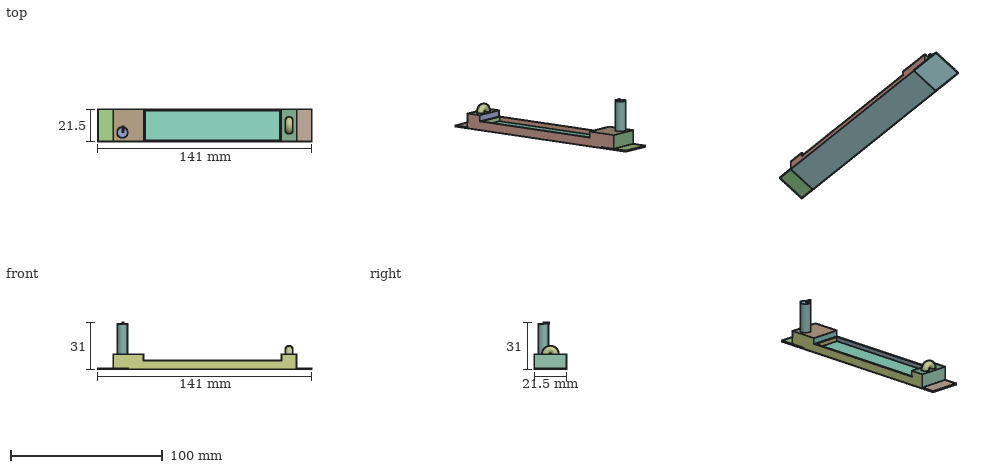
import cadquery as cq

total_length = 141.0
width = 21.5
total_height = 31.0

tab_reach = 10.0
housing_start = tab_reach
housing_end = total_length - tab_reach
block_height = 10.0
left_block_length = 20.0
right_block_length = 10.0
tray_start = housing_start + left_block_length
tray_end = housing_end - right_block_length
tray_height = 5.9
tray_wall = 1.0
tray_depth = 3.0

tab_thickness = 0.8
left_tab_length = 2 * tab_reach

post_diameter = 7.0
post_x = 16.1
post_y = -4.7
pointer_height = 1.0
pointer_width = 1.0
pointer_length = 4.0
post_top = total_height - pointer_height

hoop_bar_diameter = 5.1
hoop_bend_radius = 3.1
hoop_x = housing_end - right_block_length / 2


def make_tab(start, length):
    """Thin full-width plate on the underside plane."""
    plate = cq.Workplane("XY").box(length, width, tab_thickness, centered=(False, True, False))
    return plate.translate((start, 0, 0))


def make_housing():
    """Stepped housing with an open tray and a recess for the left tab."""
    profile = [
        (housing_start, 0),
        (housing_end, 0),
        (housing_end, block_height),
        (tray_end, block_height),
        (tray_end, tray_height),
        (tray_start, tray_height),
        (tray_start, block_height),
        (housing_start, block_height),
    ]
    body = cq.Workplane("XZ").polyline(profile).close().extrude(width / 2, both=True)
    tray = (
        cq.Workplane("XY", origin=((tray_start + tray_end) / 2, 0, tray_height))
        .rect(tray_end - tray_start - 2 * tray_wall, width - 2 * tray_wall)
        .extrude(-tray_depth)
    )
    return body.cut(tray).cut(make_tab(0, left_tab_length))


def make_post():
    """Upright cylinder on the left block; its pointer runs from the axis past the rim."""
    post = (
        cq.Workplane("XY", origin=(post_x, post_y, block_height))
        .circle(post_diameter / 2)
        .extrude(post_top - block_height)
    )
    pointer = (
        cq.Workplane("XY")
        .box(pointer_width, pointer_length, pointer_height, centered=False)
        .translate((post_x, post_y, post_top))
    )
    return post.union(pointer)


def make_hoop():
    """Half torus with both ends resting on the right block."""
    return (
        cq.Workplane("XY", origin=(hoop_x, -hoop_bend_radius, block_height))
        .circle(hoop_bar_diameter / 2)
        .revolve(180, (0, hoop_bend_radius, 0), (-1, hoop_bend_radius, 0))
    )


housing = make_housing()
left_tab = make_tab(0, left_tab_length)
right_tab = make_tab(housing_end, tab_reach)
post = make_post()
hoop = make_hoop()

result = cq.Compound.makeCompound(
    [housing.val(), left_tab.val(), right_tab.val(), post.val(), hoop.val()]
)